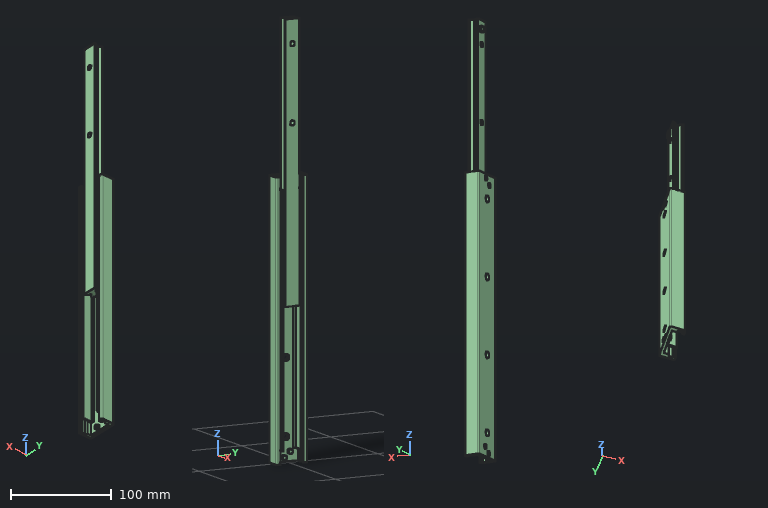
import cadquery as cq
import math

TOTAL_LENGTH = 449.0
WIDTH = 35.0
DEPTH = 17.0
MEMBER_LENGTH = 290.0

BACK_X = -DEPTH / 2
FRONT_X = DEPTH / 2
BOTTOM_Z = -TOTAL_LENGTH / 2
TOP_Z = TOTAL_LENGTH / 2
CHANNEL_TOP_Z = BOTTOM_Z + MEMBER_LENGTH
CHANNEL_MID_Z = (BOTTOM_Z + CHANNEL_TOP_Z) / 2
RAIL_BOTTOM_Z = TOP_Z - MEMBER_LENGTH

CHANNEL_FRONT_X = 7.5
WEB_THICKNESS = 3.5
FLANGE_THICKNESS = 4.5
CHANNEL_CORNER_RADIUS = 1.55
WEB_INNER_X = BACK_X + WEB_THICKNESS
FLANGE_INNER_Y = WIDTH / 2 - FLANGE_THICKNESS

RAIL_BACK_X = -2.2
RAIL_WIDTH = 15.3

GROOVE_CENTRE_X = 2.9
CHANNEL_GROOVE_OPENING = 6.5
CHANNEL_GROOVE_FLOOR = 3.5
CHANNEL_GROOVE_DEPTH = 2.0
RAIL_GROOVE_OPENING = 8.0
RAIL_GROOVE_SLOPE = 35.0
RAIL_SLOT_WIDTH = 2.0
RAIL_SLOT_DEPTH = 3.5
RAIL_FLANK_WIDTH = (RAIL_GROOVE_OPENING - RAIL_SLOT_WIDTH) / 2
RAIL_FLANK_DEPTH = RAIL_FLANK_WIDTH * math.tan(math.radians(RAIL_GROOVE_SLOPE))

HOLE_END_DISTANCE = 25.0
HOLE_PITCH = 80.0
CHANNEL_HOLE_COUNT = 4
CHANNEL_HOLE_DIAMETER = 6.7
RAIL_HOLE_COUNT = 2
RAIL_HOLE_DIAMETER = 5.0

PIN_DIAMETER = 5.0
PIN_TIP_X = -2.5
UPPER_PIN_Y = 2.5
UPPER_PIN_END_DISTANCE = 4.5
LOWER_PIN_Y = -4.0
LOWER_PIN_END_DISTANCE = 10.5
TOP_PIN_POINTS = [
    (UPPER_PIN_Y, CHANNEL_TOP_Z - UPPER_PIN_END_DISTANCE),
    (LOWER_PIN_Y, CHANNEL_TOP_Z - LOWER_PIN_END_DISTANCE),
]
BOTTOM_PIN_POINTS = [(-y, 2 * CHANNEL_MID_Z - z) for y, z in TOP_PIN_POINTS]
PIN_POINTS = TOP_PIN_POINTS + BOTTOM_PIN_POINTS

RETAINER_FLANGE_GAP = 2.0
RETAINER_OUTER_Y = FLANGE_INNER_Y - RETAINER_FLANGE_GAP
RETAINER_INSET = 13.5
RETAINER_BOTTOM_Z = BOTTOM_Z + RETAINER_INSET
RETAINER_LENGTH = MEMBER_LENGTH - 2 * RETAINER_INSET
RETAINER_LIP_END_Y = 7.0
RETAINER_BACK_X = -3.8
RETAINER_THICKNESS = 1.3

TAB_WIDTH = 5.5
TAB_HEIGHT = 5.5
TAB_CENTRE_Y = 2.2
TAB_TOP_DISTANCE = 7.0
TAB_BACK_X = -4.5


def cross_section(points, bottom_z, length):
    """Extrude an XY outline upward from bottom_z."""
    return cq.Workplane("XY", origin=(0, 0, bottom_z)).polyline(points).close().extrude(length)


def x_cylinder(y, z, diameter, start_x, end_x):
    """Cylinder lying along X."""
    circle = cq.Workplane("YZ", origin=(start_x, y, z)).circle(diameter / 2)
    return circle.extrude(end_x - start_x)


def groove_cutters(mouth_y, floor_y, opening, floor_width, bottom_z):
    """Pair of mirrored trapezoidal cutters along the full length of a member."""
    points = [
        (GROOVE_CENTRE_X - opening / 2, mouth_y),
        (GROOVE_CENTRE_X + opening / 2, mouth_y),
        (GROOVE_CENTRE_X + floor_width / 2, floor_y),
        (GROOVE_CENTRE_X - floor_width / 2, floor_y),
    ]
    groove = cross_section(points, bottom_z, MEMBER_LENGTH)
    return groove.union(groove.mirror("XZ"))


def make_channel():
    """Outer C-section with ball grooves, mounting holes and pin holes."""
    channel = cq.Workplane("XY", origin=(BACK_X, 0, BOTTOM_Z)).box(
        CHANNEL_FRONT_X - BACK_X, WIDTH, MEMBER_LENGTH, centered=(False, True, False)
    )
    channel = channel.edges("|Z").fillet(CHANNEL_CORNER_RADIUS)
    cavity = cq.Workplane("XY", origin=(WEB_INNER_X, 0, BOTTOM_Z)).box(
        CHANNEL_FRONT_X - WEB_INNER_X,
        2 * FLANGE_INNER_Y,
        MEMBER_LENGTH,
        centered=(False, True, False),
    )
    channel = channel.cut(cavity)
    groove_floor_y = FLANGE_INNER_Y + CHANNEL_GROOVE_DEPTH
    grooves = groove_cutters(
        FLANGE_INNER_Y, groove_floor_y, CHANNEL_GROOVE_OPENING, CHANNEL_GROOVE_FLOOR, BOTTOM_Z
    )
    channel = channel.cut(grooves)
    for i in range(CHANNEL_HOLE_COUNT):
        z = BOTTOM_Z + HOLE_END_DISTANCE + i * HOLE_PITCH
        channel = channel.cut(x_cylinder(0, z, CHANNEL_HOLE_DIAMETER, BACK_X, WEB_INNER_X))
    for y, z in PIN_POINTS:
        channel = channel.cut(x_cylinder(y, z, PIN_DIAMETER, BACK_X, WEB_INNER_X))
    return channel


def make_rail():
    """Sliding bar with a slotted ball groove in each side and holes in its exposed end."""
    rail = cq.Workplane("XY", origin=(RAIL_BACK_X, 0, RAIL_BOTTOM_Z)).box(
        FRONT_X - RAIL_BACK_X, RAIL_WIDTH, MEMBER_LENGTH, centered=(False, True, False)
    )
    side_y = RAIL_WIDTH / 2
    flank_end_y = side_y - RAIL_FLANK_DEPTH
    slot_floor_y = side_y - RAIL_SLOT_DEPTH
    flanks = groove_cutters(
        side_y, flank_end_y, RAIL_GROOVE_OPENING, RAIL_SLOT_WIDTH, RAIL_BOTTOM_Z
    )
    slots = groove_cutters(
        flank_end_y, slot_floor_y, RAIL_SLOT_WIDTH, RAIL_SLOT_WIDTH, RAIL_BOTTOM_Z
    )
    rail = rail.cut(flanks).cut(slots)
    for i in range(RAIL_HOLE_COUNT):
        z = TOP_Z - HOLE_END_DISTANCE - i * HOLE_PITCH
        rail = rail.cut(x_cylinder(0, z, RAIL_HOLE_DIAMETER, RAIL_BACK_X, FRONT_X))
    return rail


def make_tab():
    """Small block on the back face of the rail near its top."""
    centre_z = TOP_Z - TAB_TOP_DISTANCE - TAB_HEIGHT / 2
    return cq.Workplane("XY", origin=(TAB_BACK_X, TAB_CENTRE_Y, centre_z)).box(
        RAIL_BACK_X - TAB_BACK_X, TAB_WIDTH, TAB_HEIGHT, centered=(False, True, True)
    )


def make_retainer(side):
    """L-shaped ball retainer strip; side is +1 or -1 along Y."""
    inner_y = RETAINER_OUTER_Y - RETAINER_THICKNESS
    inner_x = RETAINER_BACK_X + RETAINER_THICKNESS
    outline = [
        (RETAINER_BACK_X, RETAINER_LIP_END_Y),
        (RETAINER_BACK_X, RETAINER_OUTER_Y),
        (CHANNEL_FRONT_X, RETAINER_OUTER_Y),
        (CHANNEL_FRONT_X, inner_y),
        (inner_x, inner_y),
        (inner_x, RETAINER_LIP_END_Y),
    ]
    points = [(x, side * y) for x, y in outline]
    return cross_section(points, RETAINER_BOTTOM_Z, RETAINER_LENGTH)


channel = make_channel()
rail = make_rail()
tab = make_tab()
pins = [x_cylinder(y, z, PIN_DIAMETER, BACK_X, PIN_TIP_X) for y, z in PIN_POINTS]
retainers = [make_retainer(side) for side in (1, -1)]

result = cq.Compound.makeCompound(
    [channel.val(), rail.val(), tab.val()]
    + [pin.val() for pin in pins]
    + [retainer.val() for retainer in retainers]
)